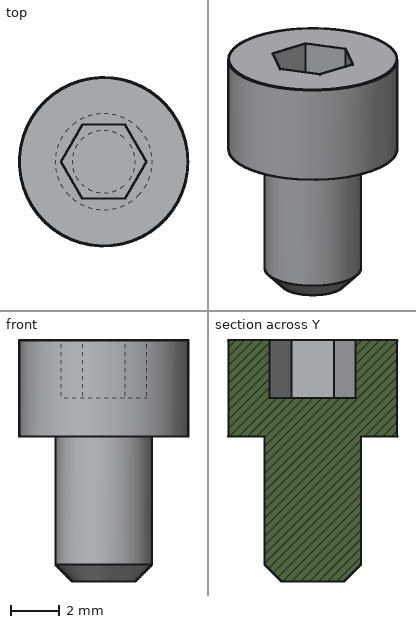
import cadquery as cq
import math

head_diameter = 7.0
head_height = 4.0
head_edge_chamfer = 0.03
shank_diameter = 4.0
shank_length = 6.0
tip_diameter = 2.6
tip_height = 0.7
socket_across_flats = 3.06
socket_depth = 2.4

socket_across_corners = socket_across_flats / math.cos(math.radians(30))


def make_head():
    """Cylindrical head with a finely broken top edge."""
    head = cq.Workplane("XY").circle(head_diameter / 2).extrude(head_height)
    return head.faces(">Z").edges().chamfer(head_edge_chamfer)


def make_shank():
    """Plain shank at the nominal thread diameter, ending in a conical tip."""
    radius = shank_diameter / 2
    profile = (
        cq.Workplane("XZ")
        .moveTo(0, 0)
        .lineTo(radius, 0)
        .lineTo(radius, tip_height - shank_length)
        .lineTo(tip_diameter / 2, -shank_length)
        .lineTo(0, -shank_length)
        .close()
    )
    return profile.revolve(360, (0, 0, 0), (0, 1, 0))


def make_socket():
    """Hexagonal key socket with two corners along X, open at the top of the head."""
    return (
        cq.Workplane("XY")
        .workplane(offset=head_height - socket_depth)
        .polygon(6, socket_across_corners)
        .extrude(socket_depth)
    )


result = make_head().union(make_shank()).cut(make_socket())